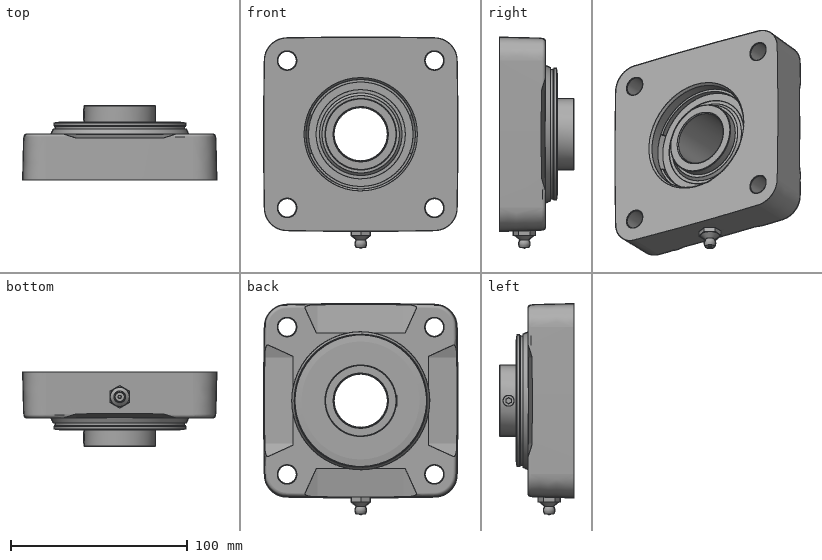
import cadquery as cq
import math


plate_half_width = 54.955
plate_bow = 0.45
plate_thickness = 26.1
draft_angle = 1.5
bolt_offset = 41.6
bolt_hole_diameter = 10.4
bolt_hole_chamfer = 0.3
back_edge_fillet = 1.8

relief_depth = 2.55
relief_half_length = 24.3
relief_flank_run = 8.5
relief_inner_reach = 38.0
relief_inner_depth = 0.2

hub_base_radius = 39.0
hub_shoulder_radius = 37.6
hub_shoulder_y = 28.9
hub_groove_radius = 36.6
hub_step_radius = 37.0
hub_step_y = 30.2
hub_lip_radius = 37.3
hub_lip_y = 30.8
hub_lip_edge_y = 32.3
hub_end_radius = 33.3
hub_end_y = 32.8

cavity_radius = 30.9
cavity_chamfer = 1.1
cavity_chamfer_depth = 1.5
cavity_depth = 7.5
seat_radius = 29.5
bearing_face_y = 10.5
slot_half_width = 10.9

seal_pocket_radius = 25.2
seal_recess = 0.4
seal_base_radius = 23.3
seal_tip_radius = 21.85
seal_tip_y = 9.3
inner_ring_radius = 20.2
inner_ring_front_y = 4.1
inner_ring_back_y = 42.2
inner_ring_chamfer = 0.3
bore_radius = 15.0
bore_chamfer = 0.6

screw_y = 37.0
screw_diameter = 6.2
screw_reach = 20.6
screw_socket_flats = 3.0
screw_socket_depth = 2.0

nipple_y = 14.1
nipple_tip_z = -64.505
nipple_hex_flats = 11.0
nipple_hex_end_z = -57.2
nipple_cone_radius = 5.4
nipple_neck_radius = 2.5
nipple_neck_z = -59.7
nipple_ball_radius = 3.3
nipple_ball_z = -61.9
nipple_end_radius = 2.6
nipple_end_z = -64.0
nipple_tip_radius = 0.9
nipple_root_z = -50.0


def turned(profile):
    """Solid of revolution about the Y axis from (radius, y) points."""
    return cq.Workplane("XY").polyline(profile).close().revolve(360, (0, 0), (0, 1))


def quarter_turned(point, quarter_turns):
    """Planar point turned clockwise about the origin by whole quarter turns."""
    x, y = point
    for _ in range(quarter_turns):
        x, y = y, -x
    return (x, y)


def plate_outline():
    """Closed outline with bowed sides and round corners, drawn facing +Y."""
    side = plate_half_width - plate_bow
    corner = bolt_offset + (side - bolt_offset) * math.sqrt(0.5)
    side_middle = (0, plate_half_width)
    side_end = (bolt_offset, side)
    corner_middle = (corner, corner)
    corner_end = (side, bolt_offset)
    facing_back = cq.Plane((0, 0, 0), (1, 0, 0), (0, 1, 0))
    outline = cq.Workplane(facing_back).moveTo(-bolt_offset, side)
    for turn in range(4):
        outline = outline.threePointArc(quarter_turned(side_middle, turn), quarter_turned(side_end, turn))
        outline = outline.threePointArc(quarter_turned(corner_middle, turn), quarter_turned(corner_end, turn))
    return outline.close()


def side_relief():
    """Cutter for the relief on the +Z side: a trapezoid trough sloping up towards the hub."""
    run = plate_half_width - relief_inner_reach
    rise = relief_depth - relief_inner_depth
    floor_y = plate_thickness - relief_depth
    slope = cq.Plane((0, floor_y, plate_half_width), (1, 0, 0), (0, -rise, run))
    height = 2 * relief_depth
    top_half_length = relief_half_length + relief_flank_run * height / relief_depth
    section = [
        (-relief_half_length, 0),
        (relief_half_length, 0),
        (top_half_length, height),
        (-top_half_length, height),
    ]
    return cq.Workplane(slope).polyline(section).close().extrude(run, both=True)


def make_plate():
    plate = plate_outline().extrude(plate_thickness, taper=draft_angle)
    plate = plate.faces(">Y").edges().fillet(back_edge_fillet)
    relief = side_relief()
    for turn in range(4):
        plate = plate.cut(relief.rotate((0, 0, 0), (0, 1, 0), 90 * turn))
    return plate


def make_hub():
    return turned([
        (0, bearing_face_y),
        (hub_base_radius, bearing_face_y),
        (hub_base_radius, plate_thickness - relief_inner_depth),
        (hub_shoulder_radius, hub_shoulder_y),
        (hub_groove_radius, hub_shoulder_y),
        (hub_groove_radius, hub_step_y),
        (hub_step_radius, hub_step_y),
        (hub_step_radius, hub_lip_y),
        (hub_lip_radius, hub_lip_y),
        (hub_lip_radius, hub_lip_edge_y),
        (hub_end_radius, hub_end_y),
        (0, hub_end_y),
    ])


def make_cavity():
    """Stepped recess in the mounting face, leaving the seal standing around the shaft."""
    recess_floor_y = bearing_face_y + seal_recess
    return turned([
        (0, 0),
        (cavity_radius + cavity_chamfer, 0),
        (cavity_radius, cavity_chamfer_depth),
        (cavity_radius, cavity_depth),
        (seat_radius, cavity_depth),
        (seat_radius, bearing_face_y),
        (seal_pocket_radius, bearing_face_y),
        (seal_pocket_radius, recess_floor_y),
        (seal_base_radius, recess_floor_y),
        (seal_tip_radius, seal_tip_y),
        (0, seal_tip_y),
    ])


def make_insertion_slots():
    """Conical clearance through the seat lip, limited to a band across the X axis."""
    clearance = turned([
        (seat_radius, cavity_depth),
        (cavity_radius, cavity_depth),
        (seat_radius, bearing_face_y),
    ])
    band = cq.Workplane("XY").box(2 * plate_half_width, 2 * plate_thickness, 2 * slot_half_width)
    return clearance.intersect(band)


def make_inner_ring():
    edge_radius = inner_ring_radius - inner_ring_chamfer
    return turned([
        (0, inner_ring_front_y),
        (edge_radius, inner_ring_front_y),
        (inner_ring_radius, inner_ring_front_y + inner_ring_chamfer),
        (inner_ring_radius, inner_ring_back_y - inner_ring_chamfer),
        (edge_radius, inner_ring_back_y),
        (0, inner_ring_back_y),
    ])


def make_bore():
    chamfer_radius = bore_radius + bore_chamfer
    return turned([
        (0, inner_ring_front_y),
        (chamfer_radius, inner_ring_front_y),
        (bore_radius, inner_ring_front_y + bore_chamfer),
        (bore_radius, inner_ring_back_y - bore_chamfer),
        (chamfer_radius, inner_ring_back_y),
        (0, inner_ring_back_y),
    ])


def make_bolt_hole():
    radius = bolt_hole_diameter / 2
    return turned([
        (0, 0),
        (radius + bolt_hole_chamfer, 0),
        (radius, bolt_hole_chamfer),
        (radius, plate_thickness - bolt_hole_chamfer),
        (radius + bolt_hole_chamfer, plate_thickness),
        (0, plate_thickness),
    ])


def hexagon(workplane, across_flats):
    return workplane.polygon(6, across_flats / math.cos(math.pi / 6))


def add_set_screw(body):
    """Screw on the -X side, ending just proud of the inner ring, with a hexagon socket."""
    outer_end = cq.Workplane(cq.Plane((-screw_reach, screw_y, 0), (0, 0, 1), (1, 0, 0)))
    screw = outer_end.circle(screw_diameter / 2).extrude(screw_reach - bore_radius - bore_chamfer)
    socket = hexagon(outer_end, screw_socket_flats).extrude(screw_socket_depth)
    return body.union(screw).cut(socket)


def make_nipple():
    """Grease nipple on the -Z side, with hexagon corners pointing along Y."""
    root = cq.Workplane(cq.Plane((0, nipple_y, nipple_root_z), (0, 1, 0), (0, 0, -1)))
    nut = hexagon(root, nipple_hex_flats).extrude(nipple_root_z - nipple_hex_end_z)
    head = (
        cq.Workplane("XZ")
        .moveTo(0, nipple_root_z)
        .lineTo(nipple_cone_radius, nipple_root_z)
        .lineTo(nipple_cone_radius, nipple_hex_end_z)
        .lineTo(nipple_neck_radius, nipple_neck_z)
        .threePointArc((nipple_ball_radius, nipple_ball_z), (nipple_end_radius, nipple_end_z))
        .lineTo(nipple_tip_radius, nipple_end_z)
        .lineTo(0, nipple_tip_z)
        .close()
        .revolve(360, (0, 0), (0, 1))
        .translate((0, nipple_y, 0))
    )
    return nut.union(head)


body = make_plate().union(make_hub())
body = body.cut(make_cavity()).cut(make_insertion_slots())
body = body.union(make_inner_ring()).cut(make_bore())
bolt_hole = make_bolt_hole()
for x_sign in (-1, 1):
    for z_sign in (-1, 1):
        body = body.cut(bolt_hole.translate((x_sign * bolt_offset, 0, z_sign * bolt_offset)))
body = add_set_screw(body)
result = body.union(make_nipple())